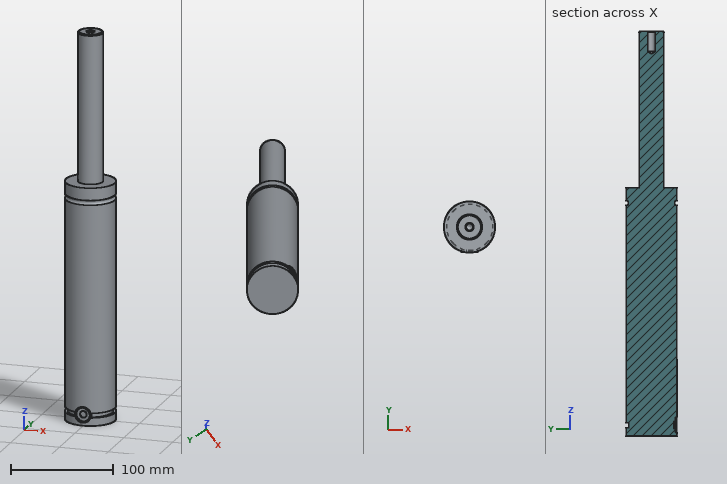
import cadquery as cq
import math

total_height = 395.0
body_diameter = 50.0
body_height = 242.5
rod_diameter = 25.0
rod_chamfer = 1.0

upper_groove_height = 227.5
upper_groove_radius = 2.5

lower_groove_bottom = 8.3
lower_groove_top = 13.0
lower_groove_diameter = 44.5

port_height = 11.0
port_diameter = 16.0
port_recess_diameter = 14.0
port_recess_depth = 1.0
port_face_distance = 24.5
port_hole_diameter = 6.7
port_hole_depth = 1.0

rod_hole_diameter = 6.7
rod_hole_depth = 19.8
rod_hole_mouth_diameter = 8.3
drill_tip_angle = 118


def make_cylinder():
    """Body with the piston rod standing on it."""
    body = cq.Workplane("XY").circle(body_diameter / 2).extrude(body_height)
    rod = cq.Workplane("XY").circle(rod_diameter / 2).extrude(total_height)
    return body.union(rod.faces(">Z").chamfer(rod_chamfer))


def make_upper_groove():
    """Ring of round section centred on the body surface."""
    return (
        cq.Workplane("XZ")
        .center(body_diameter / 2, upper_groove_height)
        .circle(upper_groove_radius)
        .revolve(360, (-body_diameter / 2, 0), (-body_diameter / 2, 1))
    )


def make_lower_groove():
    """Ring of rectangular section that reaches past the body surface."""
    return (
        cq.Workplane("XY", origin=(0, 0, lower_groove_bottom))
        .circle(body_diameter)
        .circle(lower_groove_diameter / 2)
        .extrude(lower_groove_top - lower_groove_bottom)
    )


def port_plane(distance):
    """Plane facing -Y on the port axis, at a distance from the body axis."""
    return cq.Workplane("XZ", origin=(0, -distance, port_height))


def make_port_boss():
    """Round boss with a shallow recess in its face and a small hole in the recess floor."""
    floor_distance = port_face_distance - port_recess_depth
    boss = port_plane(0).circle(port_diameter / 2).extrude(port_face_distance)
    recess = port_plane(floor_distance).circle(port_recess_diameter / 2).extrude(port_recess_depth)
    hole = (
        port_plane(floor_distance - port_hole_depth)
        .circle(port_hole_diameter / 2)
        .extrude(port_hole_depth)
    )
    return boss.cut(recess).cut(hole)


def make_rod_hole():
    """Blind hole with a 45 degree countersink and a drill tip."""
    mouth_depth = (rod_hole_mouth_diameter - rod_hole_diameter) / 2
    hole_radius = rod_hole_diameter / 2
    tip_depth = hole_radius / math.tan(math.radians(drill_tip_angle / 2))
    return (
        cq.Workplane("XZ")
        .moveTo(0, total_height)
        .lineTo(rod_hole_mouth_diameter / 2, total_height)
        .lineTo(hole_radius, total_height - mouth_depth)
        .lineTo(hole_radius, total_height - rod_hole_depth)
        .lineTo(0, total_height - rod_hole_depth - tip_depth)
        .close()
        .revolve(360, (0, 0), (0, 1))
    )


port_clearance = port_plane(0).circle(port_diameter / 2).extrude(body_diameter)

result = make_cylinder().cut(make_upper_groove()).cut(make_lower_groove())
result = result.cut(port_clearance).union(make_port_boss())
result = result.cut(make_rod_hole())